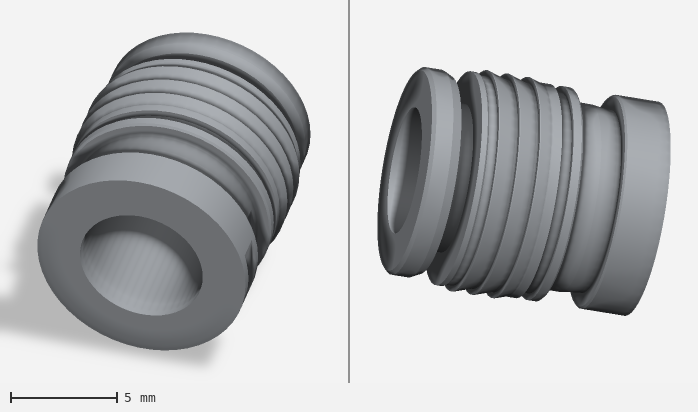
import cadquery as cq

length = 11.55
bore_radius = 3.0
body_radius = 5.09

flange_rear = 2.21
flange_chamfer = 0.09
neck_front_radius = 4.35
neck_rear_radius = 4.47
taper_start = 2.43
taper_end = 3.21
neck_fillet = 0.12

collar_front = 4.24
collar_chamfer = 0.09
groove_start = 4.74
groove_end = 5.29
groove_radius = 4.78
collar_rear = 5.72
collar_rear_chamfer = 0.08

barb_count = 3
barb_pitch = 1.0
barb_radius = 5.27
barb_root_radius = 4.99
barb_length = 0.84
barb_land = 0.05
first_barb_end = 6.41

seat_radius = 4.99
seat_end = 8.82
ring_chamfer = 0.09
ring_rear = 9.19
rear_neck_radius = 3.53
rear_neck_fillet = 0.16

head_front = 10.1
head_front_radius = 4.71
head_radius = 4.94
head_taper_end = 10.56
head_chamfer = 0.17

recess_width = 1.2
flange_recess_start = 0.5
flange_recess_x = 4.91
neck_recess_start = 2.59
neck_recess_x = 4.26


def add_barbs(profile):
    """Add the sawteeth; the first cone is cut short by the collar in front of it."""
    slope = (barb_radius - barb_root_radius) / barb_length
    cone_start = collar_rear + collar_rear_chamfer
    for index in range(barb_count):
        barb_end = first_barb_end + index * barb_pitch
        land_start = barb_end - barb_land
        if index > 0:
            cone_start = land_start - barb_length
        start_radius = barb_radius - slope * (land_start - cone_start)
        root_radius = seat_radius if index == barb_count - 1 else barb_root_radius
        profile = (
            profile.lineTo(start_radius, cone_start)
            .lineTo(barb_radius, land_start)
            .lineTo(barb_radius, barb_end)
            .lineTo(root_radius, barb_end)
        )
    return profile


def make_sleeve():
    """Revolve the half section, drawn as (radius, Y), about the Y axis."""
    profile = (
        cq.Workplane("XY")
        .moveTo(bore_radius, 0)
        .lineTo(body_radius, 0)
        .lineTo(body_radius, flange_rear - flange_chamfer)
        .lineTo(body_radius - flange_chamfer, flange_rear)
        .lineTo(neck_front_radius, flange_rear)
        .lineTo(neck_front_radius, taper_start)
        .lineTo(neck_rear_radius, taper_end)
        .lineTo(neck_rear_radius, collar_front - neck_fillet)
        .radiusArc((neck_rear_radius + neck_fillet, collar_front), neck_fillet)
        .lineTo(body_radius - collar_chamfer, collar_front)
        .lineTo(body_radius, collar_front + collar_chamfer)
        .lineTo(body_radius, groove_start)
        .lineTo(groove_radius, groove_start)
        .lineTo(groove_radius, groove_end)
        .lineTo(body_radius, groove_end)
        .lineTo(body_radius, collar_rear)
    )
    profile = add_barbs(profile)
    profile = (
        profile.lineTo(seat_radius, seat_end)
        .lineTo(body_radius, seat_end + ring_chamfer)
        .lineTo(body_radius, ring_rear)
        .lineTo(rear_neck_radius, ring_rear)
        .lineTo(rear_neck_radius, head_front - rear_neck_fillet)
        .radiusArc((rear_neck_radius + rear_neck_fillet, head_front), rear_neck_fillet)
        .lineTo(head_front_radius, head_front)
        .lineTo(head_radius, head_taper_end)
        .lineTo(head_radius, length - head_chamfer)
        .lineTo(head_radius - head_chamfer, length)
        .lineTo(bore_radius, length)
        .close()
    )
    return profile.revolve(360, (0, 0, 0), (0, 1, 0))


def flat_recess(floor_x, start_y):
    """Cutter that removes everything beyond floor_x over one recess width."""
    cutter_depth = body_radius - floor_x
    cutter_height = 2 * body_radius
    return cq.Workplane("XY").box(
        cutter_depth, recess_width, cutter_height, centered=(False, False, True)
    ).translate((floor_x, start_y, 0))


result = (
    make_sleeve()
    .cut(flat_recess(flange_recess_x, flange_recess_start))
    .cut(flat_recess(neck_recess_x, neck_recess_start))
)